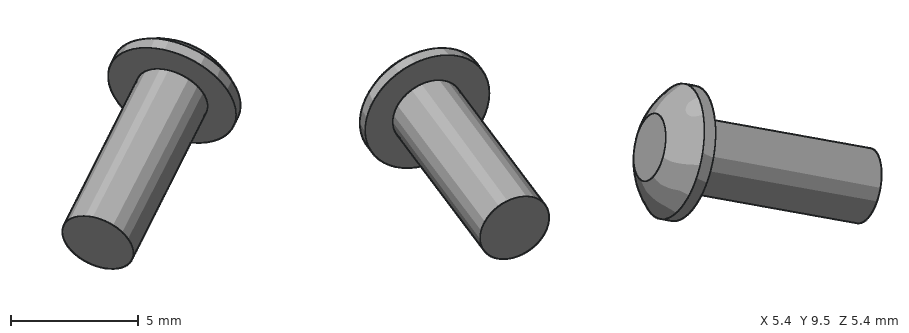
import cadquery as cq
import math

total_length = 9.5
head_diameter = 5.4
shank_diameter = 3.0
head_height = 1.5
rim_height = 0.5
crown_diameter = head_diameter / 2

head_radius = head_diameter / 2
shank_radius = shank_diameter / 2
crown_radius = crown_diameter / 2
shank_length = total_length - head_height
rim_top = shank_length + rim_height

dome_rise = total_length - rim_top
center_depth = (head_radius**2 - crown_radius**2 - dome_rise**2) / (2 * dome_rise)
dome_radius = math.hypot(head_radius, center_depth)
middle_radius = (head_radius + crown_radius) / 2
middle_height = rim_top - center_depth + math.sqrt(dome_radius**2 - middle_radius**2)
dome_middle = (middle_radius, middle_height)

half_section = (
    cq.Workplane("XY")
    .lineTo(shank_radius, 0)
    .lineTo(shank_radius, shank_length)
    .lineTo(head_radius, shank_length)
    .lineTo(head_radius, rim_top)
    .threePointArc(dome_middle, (crown_radius, total_length))
    .lineTo(0, total_length)
    .close()
)
result = half_section.revolve(360, (0, 0, 0), (0, 1, 0))